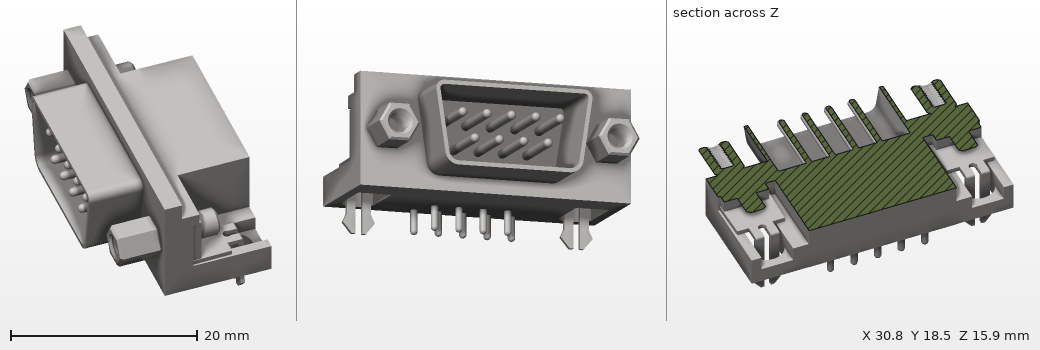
import cadquery as cq
import math


width = 30.8
flange_height = 12.5
flange_depth = 2.0
body_width = 17.38
body_height = 10.55
body_depth = 12.3
shoulder_depth = 4.0
tray_depth = 12.25
tray_height = 3.3

notch_back = 3.3
notch_top = 9.12

lock_x = 12.4
channel_width = 3.73
channel_floor = 1.65
opening_straight_end = 9.92
opening_crown = 11.25

shell_length = 6.2
shell_bottom = 1.6
shell_top = 10.8
shell_half_top = 9.03
shell_lean = math.tan(math.radians(8.5))
shell_wall = 0.45
shell_top_radius = 0.92
shell_bottom_radius = 1.55
socket_depth = 2.0

contact_count = 9
contact_pitch = 1.4
contact_radius = 0.5
contact_length = 5.73
upper_row_z = 7.65
lower_row_z = 4.87
tail_radius = 0.4
tail_length = 2.7
tail_embed = 0.92
rear_tail_y = 10.95
front_tail_y = 8.13

screw_x = 12.48
screw_z = 6.22
nut_flats = 4.05
nut_length = 4.8
nut_chamfer = 0.25
thread_minor_radius = 1.15
thread_root_radius = 1.3
bore_mouth_radius = 1.42
thread_pitch = 0.35
thread_grooves = 11
stud_radius = 1.5
stud_end = 7.02
stud_chamfer = 0.28

plate_width = 5.3
plate_back = 4.3
plate_top = 9.05
foot_x = 12.32
foot_rear_width = 5.58
foot_front_width = 5.75
foot_rear = 7.83
foot_thickness = 0.52
leg_outer = 1.4
leg_gap = 0.75
leg_thickness = 0.5
leg_rear = 9.7
leg_bend_radius = 0.28
slot_end_radius = 0.45
barb_start_z = -1.25
barb_tip_z = -2.15
barb_outer = 1.82
leg_tip_outer = 0.8
leg_end_z = -3.35


def block(x0, x1, y0, y1, z0, z1):
    return cq.Workplane("XY").box(x1 - x0, y1 - y0, z1 - z0, centered=False).translate((x0, y0, z0))


def both_sides(left):
    return left.union(left.mirror("YZ"))


def y_rod(x, z, radius, y0, y1):
    return cq.Workplane("XZ", origin=(x, y0, z)).circle(radius).extrude(y0 - y1)


def make_housing():
    half = width / 2
    housing = block(-half, half, 0, flange_depth, 0, flange_height)
    housing = housing.union(block(-half, half, 0, shoulder_depth, 0, body_height))
    housing = housing.union(block(-half, half, 0, tray_depth, 0, tray_height))
    notch = block(-half, -body_width / 2, notch_back, shoulder_depth, tray_height, notch_top)
    channel_left = -lock_x - channel_width / 2
    channel_right = channel_left + channel_width
    channel = block(channel_left, channel_right, notch_back, tray_depth, channel_floor, tray_height)
    opening = (
        cq.Workplane("XY")
        .moveTo(channel_left, shoulder_depth)
        .lineTo(channel_left, opening_straight_end)
        .threePointArc((-lock_x, opening_crown), (channel_right, opening_straight_end))
        .lineTo(channel_right, shoulder_depth)
        .close()
        .extrude(tray_height)
    )
    housing = housing.cut(both_sides(notch.union(channel).union(opening)))
    return housing.union(block(-body_width / 2, body_width / 2, 0, body_depth, 0, body_height))


def shell_prism(inset, back, length):
    top = shell_top - inset
    bottom = shell_bottom + inset
    side_shift = inset * math.hypot(1, shell_lean)

    def half_width(z):
        return shell_half_top - (shell_top - z) * shell_lean - side_shift

    corners = [
        (-half_width(top), top),
        (half_width(top), top),
        (half_width(bottom), bottom),
        (-half_width(bottom), bottom),
    ]
    prism = cq.Workplane("XZ", origin=(0, back, 0)).polyline(corners).close().extrude(length)
    prism = prism.edges("|Y and >Z").fillet(shell_top_radius - inset)
    return prism.edges("|Y and <Z").fillet(shell_bottom_radius - inset)


def make_contact(index):
    x = (index - (contact_count - 1) / 2) * contact_pitch
    in_upper_row = index % 2 == 0
    z = upper_row_z if in_upper_row else lower_row_z
    tail_y = rear_tail_y if in_upper_row else front_tail_y
    tip_center_y = contact_radius - contact_length
    tail_tip_center_z = tail_radius - tail_length
    pin = y_rod(x, z, contact_radius, tip_center_y, shoulder_depth)
    pin = pin.union(cq.Workplane("XY").sphere(contact_radius).translate((x, tip_center_y, z)))
    tail = cq.Workplane("XY", origin=(x, tail_y, tail_tip_center_z)).circle(tail_radius)
    tip = cq.Workplane("XY").sphere(tail_radius).translate((x, tail_y, tail_tip_center_z))
    tail = tail.extrude(tail_embed - tail_tip_center_z)
    return pin.union(tail).union(tip)


def make_bore():
    mouth_depth = bore_mouth_radius - thread_minor_radius
    profile = [(0, 0), (bore_mouth_radius, 0), (thread_minor_radius, mouth_depth)]
    for groove in range(thread_grooves):
        start = mouth_depth + groove * thread_pitch
        profile.append((thread_root_radius, start + thread_pitch / 2))
        profile.append((thread_minor_radius, start + thread_pitch))
    profile.append((0, mouth_depth + thread_grooves * thread_pitch))
    bore = cq.Workplane("XY").polyline(profile).close().revolve(360, (0, 0, 0), (0, 1, 0))
    return bore.translate((-screw_x, -nut_length, screw_z))


def make_screw():
    corner_diameter = nut_flats / math.cos(math.pi / 6)
    nut = cq.Workplane("XZ", origin=(-screw_x, 0, screw_z)).polygon(6, corner_diameter).extrude(nut_length)
    nut = nut.faces("<Y or >Y").edges().chamfer(nut_chamfer)
    stud = y_rod(-screw_x, screw_z, stud_radius, notch_back, stud_end)
    stud = stud.faces(">Y").edges().chamfer(stud_chamfer)
    return nut.cut(make_bore()).union(stud)


def make_legs():
    foot_top = tray_height + foot_thickness
    strap = block(-leg_outer, leg_outer, foot_rear, leg_rear, tray_height, foot_top)
    right_leg = [
        (0, foot_top),
        (leg_outer, foot_top),
        (leg_outer, barb_start_z),
        (barb_outer, barb_tip_z),
        (leg_tip_outer, leg_end_z),
        (0, leg_end_z),
    ]
    leg = cq.Workplane("XZ", origin=(0, leg_rear, 0)).polyline(right_leg).close().extrude(leg_thickness)
    legs = strap.union(both_sides(leg))
    legs = legs.edges("|X and >Y and >Z").fillet(leg_bend_radius)
    slot_end_y = foot_rear + slot_end_radius
    gap = block(-leg_gap / 2, leg_gap / 2, slot_end_y, leg_rear, leg_end_z, foot_top)
    slot_end = cq.Workplane("XY", origin=(0, slot_end_y, tray_height)).circle(slot_end_radius)
    return legs.cut(gap).cut(slot_end.extrude(foot_thickness)).translate((-lock_x, 0, 0))


def make_bracket():
    plate_left = -screw_x - plate_width / 2
    plate = block(plate_left, plate_left + plate_width, notch_back, plate_back, tray_height, plate_top)
    foot_outline = [
        (-foot_x - foot_front_width / 2, notch_back),
        (-foot_x + foot_front_width / 2, notch_back),
        (-foot_x + foot_rear_width / 2, foot_rear),
        (-foot_x - foot_rear_width / 2, foot_rear),
    ]
    foot = cq.Workplane("XY", origin=(0, 0, tray_height)).polyline(foot_outline).close()
    return plate.union(foot.extrude(foot_thickness)).union(make_legs())


shell = shell_prism(0, 0, shell_length)
socket = shell_prism(shell_wall, socket_depth, socket_depth + shell_length)
part = make_housing().union(shell).cut(socket)
for contact_index in range(contact_count):
    part = part.union(make_contact(contact_index))
part = part.union(both_sides(make_bracket()))
part = part.union(both_sides(make_screw()))
result = part